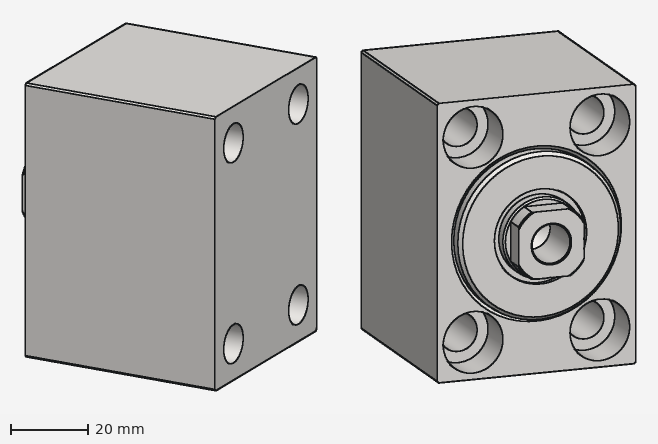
import cadquery as cq
import math


BLOCK_LENGTH = 55.95
BLOCK_WIDTH = 55.0
BLOCK_HEIGHT = 75.0
BLOCK_EDGE_CHAMFER = 0.5

BOLT_SPACING_Y = 35.0
BOLT_SPACING_Z = 55.0
BOLT_HOLE_DIAMETER = 10.5
COUNTERBORE_DIAMETER = 16.5
COUNTERBORE_DEPTH = 11.0

GLAND_DIAMETER = 45.0
GLAND_PROJECTION = 3.0
GLAND_SEAT_DEPTH = 15.0
GLAND_CHAMFER = 1.0
BORE_CHAMFER = 1.0
ROD_RECESS_DIAMETER = 25.5
ROD_RECESS_DEPTH = 1.5

ROD_DIAMETER = 22.0
ROD_PROJECTION = 11.0
SHOULDER_CHAMFER = 0.5
SQUARE_LENGTH = 6.0
SQUARE_WIDTH = 18.0
TIP_CHAMFER = 0.3
ROD_HOLE_DIAMETER = 10.5
ROD_HOLE_DEPTH = 15.0
ROD_HOLE_CHAMFER = 0.3
DRILL_POINT_ANGLE = 118.0

SQUARE_CORNER_DIAMETER = ROD_DIAMETER - 2 * SHOULDER_CHAMFER


def cylinder(x_start, length, diameter):
    """Solid cylinder on the X axis, from x_start towards +X."""
    return cq.Workplane("YZ", origin=(x_start, 0, 0)).circle(diameter / 2).extrude(length)


def make_block():
    block = cq.Workplane("XY").box(BLOCK_LENGTH, BLOCK_WIDTH, BLOCK_HEIGHT, centered=(False, True, True))
    block = block.edges("|X").chamfer(BLOCK_EDGE_CHAMFER)

    bore = cylinder(0, GLAND_SEAT_DEPTH, GLAND_DIAMETER)
    block = block.cut(bore)
    mouth = cq.selectors.BoxSelector(
        (-BORE_CHAMFER / 2, -GLAND_DIAMETER / 2, -GLAND_DIAMETER / 2),
        (BORE_CHAMFER / 2, GLAND_DIAMETER / 2, GLAND_DIAMETER / 2),
    )
    block = block.edges(mouth).chamfer(BORE_CHAMFER)

    for y in (-BOLT_SPACING_Y / 2, BOLT_SPACING_Y / 2):
        for z in (-BOLT_SPACING_Z / 2, BOLT_SPACING_Z / 2):
            through_hole = cylinder(0, BLOCK_LENGTH, BOLT_HOLE_DIAMETER)
            counterbore = cylinder(0, COUNTERBORE_DEPTH, COUNTERBORE_DIAMETER)
            block = block.cut(through_hole.union(counterbore).translate((0, y, z)))
    return block


def make_gland():
    gland = cylinder(-GLAND_PROJECTION, GLAND_PROJECTION + GLAND_SEAT_DEPTH, GLAND_DIAMETER)
    gland = gland.faces("<X").chamfer(GLAND_CHAMFER)
    rod_bore = cylinder(-GLAND_PROJECTION, GLAND_PROJECTION + GLAND_SEAT_DEPTH, ROD_DIAMETER)
    rod_recess = cylinder(-GLAND_PROJECTION, ROD_RECESS_DEPTH, ROD_RECESS_DIAMETER)
    return gland.cut(rod_bore).cut(rod_recess)


def make_rod():
    shoulder_x = SQUARE_LENGTH - ROD_PROJECTION
    rod = cylinder(shoulder_x, GLAND_SEAT_DEPTH - shoulder_x, ROD_DIAMETER)
    rod = rod.faces("<X").chamfer(SHOULDER_CHAMFER)

    square_end = cylinder(-ROD_PROJECTION, SQUARE_LENGTH, SQUARE_CORNER_DIAMETER)
    square_end = square_end.faces("<X").chamfer(TIP_CHAMFER)
    square_bar = cq.Workplane("YZ", origin=(-ROD_PROJECTION, 0, 0))
    square_bar = square_bar.rect(SQUARE_WIDTH, SQUARE_WIDTH).extrude(SQUARE_LENGTH)
    rod = rod.union(square_end.intersect(square_bar))

    hole_radius = ROD_HOLE_DIAMETER / 2
    point_length = hole_radius / math.tan(math.radians(DRILL_POINT_ANGLE / 2))
    hole_bottom_x = ROD_HOLE_DEPTH - ROD_PROJECTION
    hole = (
        cq.Workplane("XY")
        .moveTo(-ROD_PROJECTION, 0)
        .lineTo(-ROD_PROJECTION, hole_radius + ROD_HOLE_CHAMFER)
        .lineTo(-ROD_PROJECTION + ROD_HOLE_CHAMFER, hole_radius)
        .lineTo(hole_bottom_x, hole_radius)
        .lineTo(hole_bottom_x + point_length, 0)
        .close()
        .revolve(360, (0, 0, 0), (1, 0, 0))
    )
    return rod.cut(hole)


block = make_block()
gland = make_gland()
rod = make_rod()

result = cq.Compound.makeCompound([block.val(), gland.val(), rod.val()])